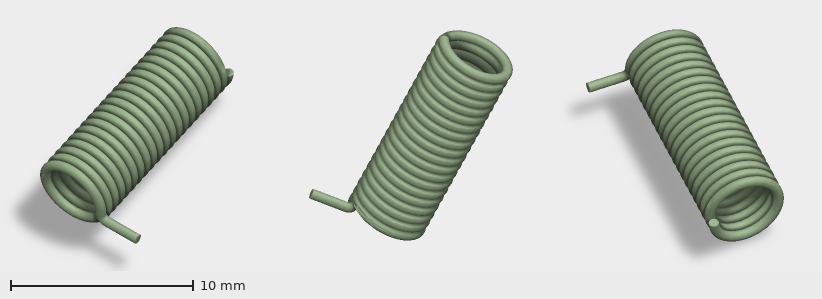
import cadquery as cq

spring_length = 12.55
outer_diameter = 4.55
wire_diameter = 0.56
turns = 20

leg_tip_to_coil_side = 6.78
neck_length = 0.06
bend_radius = 0.44

wire_radius = wire_diameter / 2
coil_radius = (outer_diameter - wire_diameter) / 2
coil_length = spring_length - wire_diameter
pitch = coil_length / turns
leg_tip_x = leg_tip_to_coil_side - outer_diameter / 2


def make_coil():
    """Left-hand helix wound along +Y, starting and ending on the +X side at Z = 0."""
    helix = cq.Wire.makeHelix(pitch, coil_length, coil_radius, lefthand=True)
    coil = (
        cq.Workplane("XZ", origin=(coil_radius, 0, 0))
        .circle(wire_radius)
        .sweep(cq.Workplane(helix), isFrenet=True)
    )
    return coil.rotate((0, 0, 0), (1, 0, 0), -90)


def make_leg():
    """Wire that drops from the coil start and bends outward to a straight leg along +X."""
    path = (
        cq.Workplane("XZ")
        .moveTo(coil_radius, 0)
        .lineTo(coil_radius, -neck_length)
        .radiusArc((coil_radius + bend_radius, -neck_length - bend_radius), -bend_radius)
        .lineTo(leg_tip_x, -neck_length - bend_radius)
    )
    return cq.Workplane("XY", origin=(coil_radius, 0, 0)).circle(wire_radius).sweep(path)


result = make_coil().union(make_leg()).translate((0, -coil_length / 2, 0))